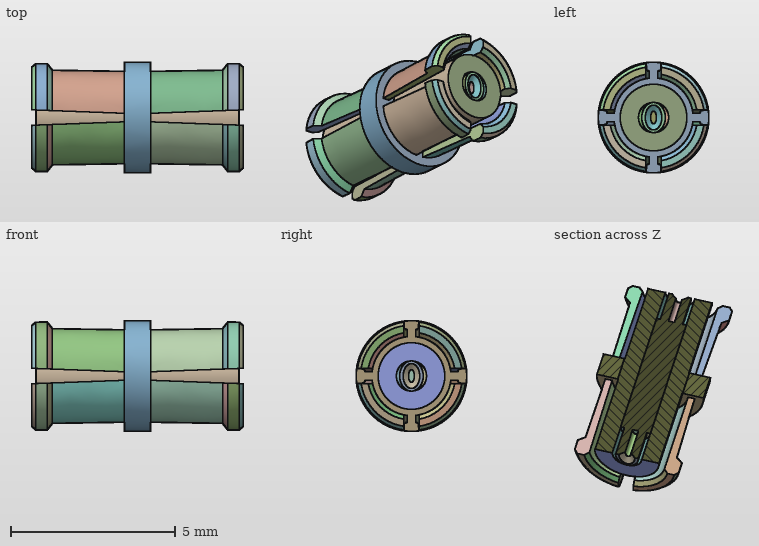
import cadquery as cq

HALF_LENGTH = 6.45 / 2

COLLAR_RADIUS = 1.69
COLLAR_HALF_WIDTH = 0.40
LIP_RADIUS = 1.66
LIP_NOSE_LENGTH = 0.13
LIP_NOSE_DROP = 0.11
LIP_LAND_LENGTH = 0.345
LIP_BACK_LENGTH = 0.16
NECK_RADIUS_AT_LIP = 1.46
NECK_RADIUS_AT_COLLAR = 1.416

BORE_RADIUS = 1.205
MOUTH_BEVEL = 0.13

SLOTS_PER_END = 4
SLOT_WIDTH_AT_END = 0.47
SLOT_WIDTH_AT_COLLAR = 0.26

INSULATOR_RADIUS = 1.015
INSULATOR_HALF_LENGTH = HALF_LENGTH - LIP_NOSE_LENGTH

PIN_RADIUS = 0.46
TIP_HALF_WIDTH = 0.36
TIP_LENGTH = 1.0
MOUTH_HALF_WIDTH = 0.252
MOUTH_HALF_HEIGHT = 0.378
THROAT_HALF_WIDTH = 0.088
THROAT_HALF_HEIGHT = 0.192
FUNNEL_DEPTH = 0.14
SOCKET_DEPTH = 1.0


def mirrored_ends(solid):
    """Return the +X copy of a shape and its mirror image at -X."""
    return [solid, solid.mirror("YZ")]


def ellipse_at(x, half_width, half_height):
    """Ellipse on a plane across X, half_width along Y and half_height along Z."""
    return cq.Workplane("YZ", origin=(x, 0, 0)).ellipse(half_width, half_height)


def shell_blank():
    """Turned shell: central collar with a lipped sleeve on each side."""
    land_end = HALF_LENGTH - LIP_NOSE_LENGTH
    land_start = land_end - LIP_LAND_LENGTH
    neck_end = land_start - LIP_BACK_LENGTH
    right_half = [
        (COLLAR_HALF_WIDTH, INSULATOR_RADIUS),
        (COLLAR_HALF_WIDTH, BORE_RADIUS),
        (HALF_LENGTH - MOUTH_BEVEL, BORE_RADIUS),
        (HALF_LENGTH, BORE_RADIUS + MOUTH_BEVEL),
        (HALF_LENGTH, LIP_RADIUS - LIP_NOSE_DROP),
        (land_end, LIP_RADIUS),
        (land_start, LIP_RADIUS),
        (neck_end, NECK_RADIUS_AT_LIP),
        (COLLAR_HALF_WIDTH, NECK_RADIUS_AT_COLLAR),
        (COLLAR_HALF_WIDTH, COLLAR_RADIUS),
    ]
    left_half = [(-x, radius) for x, radius in reversed(right_half)]
    profile = cq.Workplane("XY").polyline(right_half + left_half).close()
    return profile.revolve(360, (0, 0, 0), (1, 0, 0))


def slot_cutters():
    """Wedges, wider at the open end, that cross the whole sleeve at +X and -X."""
    span = 2 * COLLAR_RADIUS
    wedge = (
        cq.Workplane("XY")
        .polyline([
            (COLLAR_HALF_WIDTH, -SLOT_WIDTH_AT_COLLAR / 2),
            (HALF_LENGTH, -SLOT_WIDTH_AT_END / 2),
            (HALF_LENGTH, SLOT_WIDTH_AT_END / 2),
            (COLLAR_HALF_WIDTH, SLOT_WIDTH_AT_COLLAR / 2),
        ])
        .close()
        .extrude(span / 2, both=True)
    )
    cutters = []
    for index in range(SLOTS_PER_END // 2):
        angle = index * 360 / SLOTS_PER_END
        cutters += mirrored_ends(wedge.rotate((0, 0, 0), (1, 0, 0), angle))
    return cutters


def make_shell():
    shell = shell_blank()
    for cutter in slot_cutters():
        shell = shell.cut(cutter)
    return shell


def make_insulator():
    """Plain cylinder with a round through bore for the pin."""
    return (
        cq.Workplane("YZ", origin=(-INSULATOR_HALF_LENGTH, 0, 0))
        .circle(INSULATOR_RADIUS)
        .circle(PIN_RADIUS)
        .extrude(2 * INSULATOR_HALF_LENGTH)
    )


def pin_socket():
    """Elliptical funnel leading into a blind elliptical bore at the +X tip."""
    funnel = (
        ellipse_at(INSULATOR_HALF_LENGTH, MOUTH_HALF_WIDTH, MOUTH_HALF_HEIGHT)
        .workplane(offset=-FUNNEL_DEPTH)
        .ellipse(THROAT_HALF_WIDTH, THROAT_HALF_HEIGHT)
        .loft(ruled=True)
    )
    bore_floor = INSULATOR_HALF_LENGTH - SOCKET_DEPTH
    bore_length = SOCKET_DEPTH - FUNNEL_DEPTH
    bore = ellipse_at(bore_floor, THROAT_HALF_WIDTH, THROAT_HALF_HEIGHT).extrude(bore_length)
    return funnel.union(bore)


def make_pin():
    """Pin flush with the insulator, its tips as tall as the bore but narrower."""
    barrel_half_length = INSULATOR_HALF_LENGTH - TIP_LENGTH
    pin = (
        cq.Workplane("YZ", origin=(-barrel_half_length, 0, 0))
        .circle(PIN_RADIUS)
        .extrude(2 * barrel_half_length)
    )
    tip = ellipse_at(barrel_half_length, TIP_HALF_WIDTH, PIN_RADIUS).extrude(TIP_LENGTH)
    for end_tip in mirrored_ends(tip):
        pin = pin.union(end_tip)
    for socket in mirrored_ends(pin_socket()):
        pin = pin.cut(socket)
    return pin


shell = make_shell()
insulator = make_insulator()
pin = make_pin()

result = cq.Compound.makeCompound([shell.val(), insulator.val(), pin.val()])